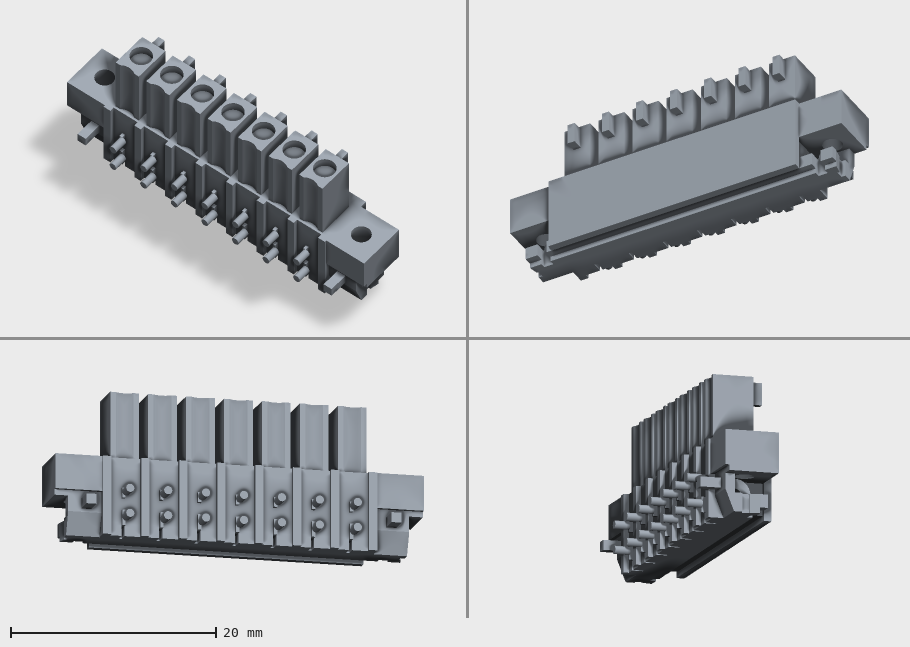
import cadquery as cq
import math


POLE_COUNT = 7
POLE_PITCH = 3.8
POLE_X = [(i - (POLE_COUNT - 1) / 2) * POLE_PITCH for i in range(POLE_COUNT)]

OVERALL_LENGTH = 36.97
BODY_LENGTH = 27.55
BODY_DEPTH = 6.47
BODY_HEIGHT = 7.85
POLE_RECESS_WIDTH = 3.0
POLE_FACE_Y = 0.5
CHANNEL_FRONT_Y = 4.2
CHANNEL_HEIGHT = 0.55

TOWER_TOP = 14.5
TOWER_WIDTH = 2.9
TOWER_FRONT_Y = 0.78
TOWER_BACK_Y = 4.9
FLUTE_WIDTH = 1.77
FLUTE_DEPTH = 0.3
KEY_WIDTH = 0.78
KEY_BACK_Y = 6.15
KEY_BOTTOM = 11.95
KEY_TOP = 14.15
BORE_Y = 2.95
WELL_DIAMETER = 2.3
WELL_DEPTH = 1.0

EAR_FRONT_Y = 0.22
EAR_BACK_Y = 5.7
EAR_BOTTOM = 3.77
EAR_NOTCH_TOP = 4.33
EAR_HOLE_X = 15.97
EAR_HOLE_DIAMETER = 2.05

END_INSET = 0.37
LEG_OUTER_X = 17.1
LEG_FRONT_Y = 0.65
LEG_BACK_Y = 1.65
LEG_SLOPE_TOP = 2.2
LEG_TOE_Y = 1.55
FOOT_TOP = 1.9
FOOT_BACK_Y = 5.03
FOOT_TAPER_BACK_Y = 4.33
FOOT_TAPER_FRONT_Y = 3.2
FOOT_GROOVE_FRONT_Y = 2.45
FOOT_TAPER_X = 16.9
FOOT_GROOVE_X = 16.67

PIN_TIP_Y = -1.48

ANCHOR_THICKNESS = 1.0
ANCHOR_X = 15.3
ANCHOR_TOP = 3.55
ANCHOR_BACK_Y = 3.65
ANCHOR_BEND_RADIUS = 1.6
ANCHOR_INNER_RADIUS = ANCHOR_BEND_RADIUS - ANCHOR_THICKNESS
ANCHOR_BEND_Y = ANCHOR_BACK_Y - ANCHOR_BEND_RADIUS
ANCHOR_BEND_Z = ANCHOR_TOP - ANCHOR_BEND_RADIUS

PIN_DIAMETER = 0.8
LOWER_PIN_Z = 1.85
UPPER_PIN_Z = 4.35
TAB_FRONT_Y = 0.07
BLADE_THICKNESS = 0.35
BLADE_DEPTH = 1.1
BLADE_BOTTOM = 1.0
BLADE_TOP = 4.77
LOWER_TAB_TOP = 2.55
UPPER_TAB_BOTTOM = 3.77


def box(x0, x1, y0, y1, z0, z1):
    """Box between two values on each axis."""
    return cq.Workplane("XY").box(x1 - x0, y1 - y0, z1 - z0, centered=False).translate((x0, y0, z0))


def centred_box(x, width, y0, y1, z0, z1):
    """Box centred on x."""
    return box(x - width / 2, x + width / 2, y0, y1, z0, z1)


def upright_cylinder(x, y, diameter, z0, z1):
    return cq.Workplane("XY", origin=(x, y, z0)).circle(diameter / 2).extrude(z1 - z0)


def mirrored(shape):
    """The same shape at the opposite end of the part."""
    return shape.mirror("YZ")


def blade_x(pole_x):
    """Left and right sides of the contact blade, flush with the left of the pins."""
    left = pole_x - PIN_DIAMETER / 2
    return left, left + BLADE_THICKNESS


def make_tower(x):
    tower = centred_box(x, TOWER_WIDTH, TOWER_FRONT_Y, TOWER_BACK_Y, BODY_HEIGHT, TOWER_TOP)
    flute = (
        cq.Workplane("XY", origin=(x, TOWER_FRONT_Y, BODY_HEIGHT))
        .moveTo(-FLUTE_WIDTH / 2, 0)
        .threePointArc((0, FLUTE_DEPTH), (FLUTE_WIDTH / 2, 0))
        .close()
        .extrude(TOWER_TOP - BODY_HEIGHT)
    )
    well = upright_cylinder(x, BORE_Y, WELL_DIAMETER, TOWER_TOP - WELL_DEPTH, TOWER_TOP)
    key = centred_box(x, KEY_WIDTH, TOWER_BACK_Y, KEY_BACK_Y, KEY_BOTTOM, KEY_TOP)
    return tower.cut(flute).cut(well).union(key)


def make_anchor_profile():
    """Side outline of the bent anchor, in the YZ plane."""
    diagonal = math.sqrt(0.5)

    def bend_middle(radius):
        return ANCHOR_BEND_Y + radius * diagonal, ANCHOR_BEND_Z + radius * diagonal

    return (
        cq.Workplane("YZ")
        .moveTo(PIN_TIP_Y, ANCHOR_TOP)
        .lineTo(ANCHOR_BEND_Y, ANCHOR_TOP)
        .threePointArc(bend_middle(ANCHOR_BEND_RADIUS), (ANCHOR_BACK_Y, ANCHOR_BEND_Z))
        .lineTo(ANCHOR_BACK_Y, 0)
        .lineTo(ANCHOR_BACK_Y - ANCHOR_THICKNESS, 0)
        .lineTo(ANCHOR_BACK_Y - ANCHOR_THICKNESS, ANCHOR_BEND_Z)
        .threePointArc(
            bend_middle(ANCHOR_INNER_RADIUS), (ANCHOR_BEND_Y, ANCHOR_TOP - ANCHOR_THICKNESS)
        )
        .lineTo(PIN_TIP_Y, ANCHOR_TOP - ANCHOR_THICKNESS)
        .close()
    )


def make_anchor():
    """Anchor at the left end."""
    left_side = -ANCHOR_X - ANCHOR_THICKNESS / 2
    return make_anchor_profile().extrude(ANCHOR_THICKNESS).translate((left_side, 0, 0))


def make_leg():
    """Left leg: an upright with a sloping lower front, and a foot behind it."""
    inner_x = -BODY_LENGTH / 2 + END_INSET
    leg = (
        cq.Workplane("YZ", origin=(-LEG_OUTER_X, 0, 0))
        .moveTo(LEG_FRONT_Y, EAR_NOTCH_TOP)
        .lineTo(LEG_FRONT_Y, LEG_SLOPE_TOP)
        .lineTo(LEG_TOE_Y, 0)
        .lineTo(FOOT_BACK_Y, 0)
        .lineTo(FOOT_BACK_Y, FOOT_TOP)
        .lineTo(LEG_BACK_Y, FOOT_TOP)
        .lineTo(LEG_BACK_Y, EAR_NOTCH_TOP)
        .close()
        .extrude(LEG_OUTER_X + inner_x)
    )
    side_groove = (
        cq.Workplane("XY")
        .moveTo(-LEG_OUTER_X, FOOT_TAPER_BACK_Y)
        .lineTo(-FOOT_TAPER_X, FOOT_TAPER_FRONT_Y)
        .lineTo(-FOOT_GROOVE_X, FOOT_TAPER_FRONT_Y)
        .lineTo(-FOOT_GROOVE_X, FOOT_GROOVE_FRONT_Y)
        .lineTo(-LEG_OUTER_X, FOOT_GROOVE_FRONT_Y)
        .close()
        .extrude(FOOT_TOP)
    )
    anchor_slot_front_y = ANCHOR_BACK_Y - ANCHOR_THICKNESS
    anchor_slot = centred_box(
        -ANCHOR_X, ANCHOR_THICKNESS, anchor_slot_front_y, FOOT_BACK_Y, 0, FOOT_TOP
    )
    return leg.cut(side_groove).cut(anchor_slot)


def make_ear():
    """Left ear with its flange hole and leg."""
    inner_x = -BODY_LENGTH / 2
    outer_x = -OVERALL_LENGTH / 2
    ear = box(outer_x, inner_x, EAR_FRONT_Y, EAR_BACK_Y, EAR_BOTTOM, BODY_HEIGHT)
    notch = box(outer_x, inner_x, EAR_FRONT_Y, LEG_FRONT_Y, EAR_BOTTOM, EAR_NOTCH_TOP)
    hole = upright_cylinder(-EAR_HOLE_X, BORE_Y, EAR_HOLE_DIAMETER, EAR_BOTTOM, BODY_HEIGHT)
    return ear.cut(notch).union(make_leg()).cut(hole)


def make_end_inset():
    """Space under the left ear where the body end is set in."""
    outer_x = -BODY_LENGTH / 2
    return box(outer_x, outer_x + END_INSET, LEG_BACK_Y, EAR_BACK_Y, 0, EAR_BOTTOM)


def make_housing(anchors):
    housing = centred_box(0, BODY_LENGTH, 0, BODY_DEPTH, 0, BODY_HEIGHT)
    end_inset = make_end_inset()
    housing = housing.cut(end_inset).cut(mirrored(end_inset))
    ear = make_ear()
    housing = housing.union(ear).union(mirrored(ear))
    channel = centred_box(0, OVERALL_LENGTH, CHANNEL_FRONT_Y, EAR_BACK_Y, 0, CHANNEL_HEIGHT)
    housing = housing.cut(channel)
    for x in POLE_X:
        recess = centred_box(x, POLE_RECESS_WIDTH, 0, POLE_FACE_Y, 0, BODY_HEIGHT)
        slot = box(*blade_x(x), POLE_FACE_Y, POLE_FACE_Y + BLADE_DEPTH, 0, BLADE_TOP)
        housing = housing.cut(recess).cut(slot).union(make_tower(x))
    for anchor in anchors:
        housing = housing.cut(anchor)
    return housing


def make_contact(x):
    """Blade in its slot, with two tabs in front of the pole face and a pin on each."""
    sides = blade_x(x)
    contact = box(*sides, POLE_FACE_Y, POLE_FACE_Y + BLADE_DEPTH, BLADE_BOTTOM, BLADE_TOP)
    tabs = [
        (BLADE_BOTTOM, LOWER_TAB_TOP, LOWER_PIN_Z),
        (UPPER_TAB_BOTTOM, BLADE_TOP, UPPER_PIN_Z),
    ]
    for tab_bottom, tab_top, pin_z in tabs:
        tab = box(*sides, TAB_FRONT_Y, POLE_FACE_Y, tab_bottom, tab_top)
        pin = (
            cq.Workplane("XZ", origin=(x, TAB_FRONT_Y, pin_z))
            .circle(PIN_DIAMETER / 2)
            .extrude(TAB_FRONT_Y - PIN_TIP_Y)
        )
        contact = contact.union(tab).union(pin)
    return contact


left_anchor = make_anchor()
anchors = [left_anchor, mirrored(left_anchor)]
housing = make_housing(anchors)
contacts = [make_contact(x) for x in POLE_X]

result = cq.Compound.makeCompound(
    [housing.val()]
    + [contact.val() for contact in contacts]
    + [anchor.val() for anchor in anchors]
)